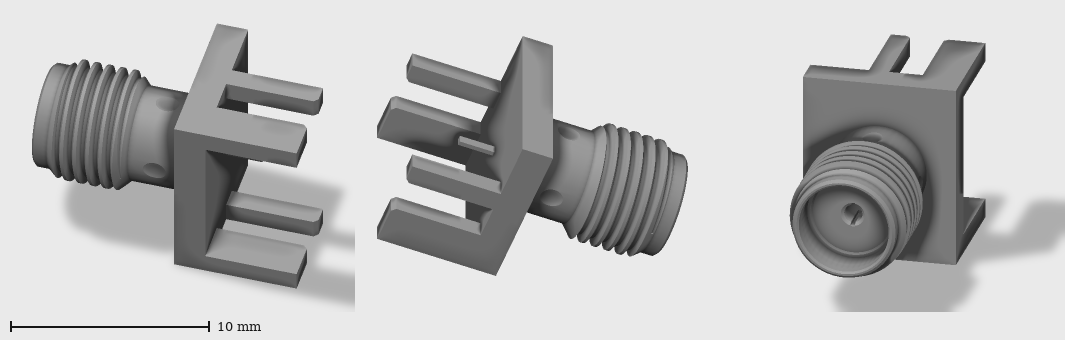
import cadquery as cq
import math


total_length = 14.27
flange_front = 7.85
flange_back = 9.49
flange_width = 7.92
flange_height = 9.52
leg_thickness = 1.01
board_face = -0.11
board_gap = 1.74
upper_leg_width = 1.04
leg_chamfer = 0.21

pin_tip = 11.39
pin_height = 0.49
pin_thickness = 2 * abs(board_face)

collar_radius = 2.67
collar_length = 0.78
collar_chamfer = 0.14
neck_radius = 2.45
neck_front = 4.98

crest_radius = 3.08
root_radius = 2.73
thread_front = 1.28
pitch = 0.67
crest_width = 0.17
root_width = 0.17
top_crest_place = 1.54
groove_clearance = 0.09
groove_turns = 5.8

mouth_radius = 2.33
mouth_chamfer = 0.1
shoulder_depth = 1.93
dielectric_radius = 2.05
shoulder_chamfer = 0.1
dielectric_depth = shoulder_depth + shoulder_chamfer

contact_radius = 0.64
socket_radius = 0.47
socket_mouth_radius = 0.61
socket_depth = 2.57
socket_cone = 0.27
slot_width = 0.23
slot_depth = 1.71

dimple_place = 6.4
dimple_radius = 0.6
dimple_sphere = 1.14
dimple_count = 4


def turned(profile):
    """Revolve a closed (x, radius) profile around the X axis."""
    return cq.Workplane("XY").polyline(profile).close().revolve(360, (0, 0, 0), (1, 0, 0))


def block(x_start, x_end, y_start, y_end, height):
    """Box between the given X and Y limits, centred on Z = 0."""
    size = (x_end - x_start, y_end - y_start, height)
    return cq.Workplane("XY").box(*size, centered=(False, False, True)).translate((x_start, y_start, 0))


def make_flange():
    """Flange plate with two pairs of legs straddling the board, plus the pin."""
    half_width = flange_width / 2
    board_back = board_face - board_gap
    leg_top = board_face + upper_leg_width
    plate = block(flange_front, flange_back, -half_width, half_width, flange_height)
    upper = block(flange_front, total_length, board_face, leg_top, flange_height)
    lower = block(flange_front, total_length, -half_width, board_back, flange_height)
    upper = upper.edges("|Z and >X and <Y").chamfer(leg_chamfer)
    lower = lower.edges("|Z and >X and >Y").chamfer(leg_chamfer)
    space_height = flange_height - 2 * leg_thickness
    space = block(flange_back, total_length, -half_width, half_width, space_height)
    pin = block(flange_front, pin_tip, -pin_thickness / 2, pin_thickness / 2, pin_height)
    return plate.union(upper).union(lower).cut(space).union(pin)


def make_barrel():
    """Collar, unthreaded crest cylinder between two cones, and neck."""
    cone_length = crest_radius - neck_radius
    return turned([
        (0, 0),
        (0, collar_radius - collar_chamfer),
        (collar_chamfer, collar_radius),
        (collar_length, collar_radius),
        (thread_front, crest_radius),
        (neck_front - cone_length, crest_radius),
        (neck_front, neck_radius),
        (flange_front, neck_radius),
        (flange_front, 0),
    ])


def make_thread_groove():
    """Helical trapezoid groove that runs out through the cone at each end."""
    flank = (pitch - crest_width - root_width) / 2
    depth = crest_radius - root_radius
    overrun = flank * groove_clearance / depth
    half_root = root_width / 2
    half_mouth = half_root + flank + overrun
    outer = crest_radius + groove_clearance
    start = top_crest_place - pitch
    helix = cq.Wire.makeHelix(pitch, groove_turns * pitch, root_radius)
    groove = (
        cq.Workplane("XZ")
        .polyline([
            (root_radius, -half_root),
            (outer, -half_mouth),
            (outer, half_mouth),
            (root_radius, half_root),
        ])
        .close()
        .sweep(cq.Workplane(obj=helix), isFrenet=True)
    )
    groove = groove.rotate((0, 0, 0), (0, 1, 0), 90)
    return groove.translate((start, 0, 0))


def make_bore():
    """Chamfered mouth, shoulder, dielectric recess and conical-bottomed socket."""
    socket_chamfer = socket_mouth_radius - socket_radius
    return turned([
        (0, 0),
        (0, mouth_radius + mouth_chamfer),
        (mouth_chamfer, mouth_radius),
        (shoulder_depth, mouth_radius),
        (shoulder_depth, dielectric_radius + shoulder_chamfer),
        (dielectric_depth, dielectric_radius),
        (dielectric_depth, socket_mouth_radius),
        (dielectric_depth + socket_chamfer, socket_radius),
        (dielectric_depth + socket_depth, socket_radius),
        (dielectric_depth + socket_depth + socket_cone, 0),
    ])


def make_contact_slot():
    """Slot across the contact along Z, ending at the contact's outer radius."""
    half_slot = slot_width / 2
    slot_end = dielectric_depth + slot_depth
    slot = block(dielectric_depth, slot_end, -half_slot, half_slot, 2 * contact_radius)
    contact = cq.Workplane("YZ").circle(contact_radius).extrude(slot_end)
    return slot.intersect(contact)


def make_dimples():
    """Shallow spherical dimples evenly spaced around the neck."""
    centre_height = neck_radius + math.sqrt(dimple_sphere**2 - dimple_radius**2)
    dimple = cq.Workplane("XY").sphere(dimple_sphere).translate((dimple_place, 0, centre_height))
    dimples = cq.Workplane("XY")
    for index in range(dimple_count):
        dimples = dimples.add(dimple.rotate((0, 0, 0), (1, 0, 0), index * 360 / dimple_count))
    return dimples


barrel = make_barrel().cut(make_thread_groove())
for dimple in make_dimples().vals():
    barrel = barrel.cut(cq.Workplane(obj=dimple))
barrel = barrel.cut(make_bore()).cut(make_contact_slot())
result = barrel.union(make_flange())